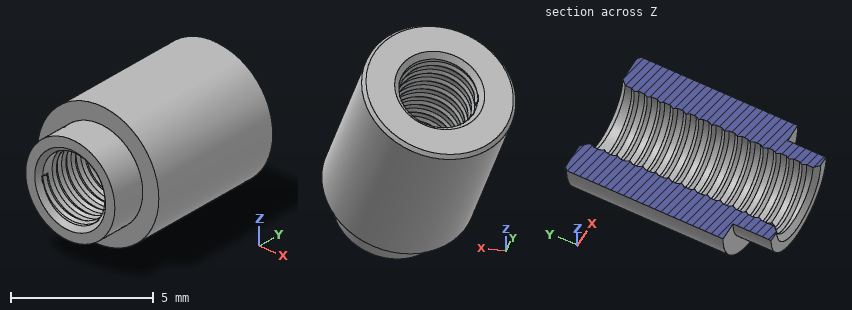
import cadquery as cq

total_length = 7.87
body_diameter = 5.56
pilot_diameter = 4.09
pilot_length = 1.52
rear_chamfer = 0.13

bore_radius = 1.42
countersink = 0.2
thread_pitch = 0.513
ridge_height = 0.078
ridge_width = 0.28
ridge_embed = 0.02

front_y = -total_length / 2
rear_y = total_length / 2
shoulder_y = front_y + pilot_length


def sleeve():
    """Stepped tube with a countersunk bore, revolved about the Y axis."""
    body_radius = body_diameter / 2
    pilot_radius = pilot_diameter / 2
    mouth_radius = bore_radius + countersink
    profile = [
        (mouth_radius, front_y),
        (pilot_radius, front_y),
        (pilot_radius, shoulder_y),
        (body_radius, shoulder_y),
        (body_radius, rear_y - rear_chamfer),
        (body_radius - rear_chamfer, rear_y),
        (mouth_radius, rear_y),
        (bore_radius, rear_y - countersink),
        (bore_radius, front_y + countersink),
    ]
    return cq.Workplane("XY").polyline(profile).close().revolve(360, (0, 0, 0), (0, 1, 0))


def thread_ridge():
    """Left-hand helical ridge of triangular section, standing inward from the bore wall."""
    crest_radius = bore_radius - ridge_height
    base_radius = bore_radius + ridge_embed
    base_half_width = ridge_width / 2 * (ridge_height + ridge_embed) / ridge_height
    thread_start = countersink + ridge_width / 2
    thread_length = total_length - 2 * thread_start
    section = [
        (crest_radius, 0),
        (base_radius, base_half_width),
        (base_radius, -base_half_width),
    ]
    helix = cq.Wire.makeHelix(thread_pitch, thread_length, bore_radius, lefthand=True)
    ridge = cq.Workplane("XZ").polyline(section).close().sweep(cq.Workplane(helix), isFrenet=True)
    start_angle = 180
    ridge = ridge.rotate((0, 0, 0), (0, 0, 1), start_angle)
    ridge = ridge.rotate((0, 0, 0), (1, 0, 0), -90)
    return ridge.translate((0, front_y + thread_start, 0))


result = sleeve().union(thread_ridge())